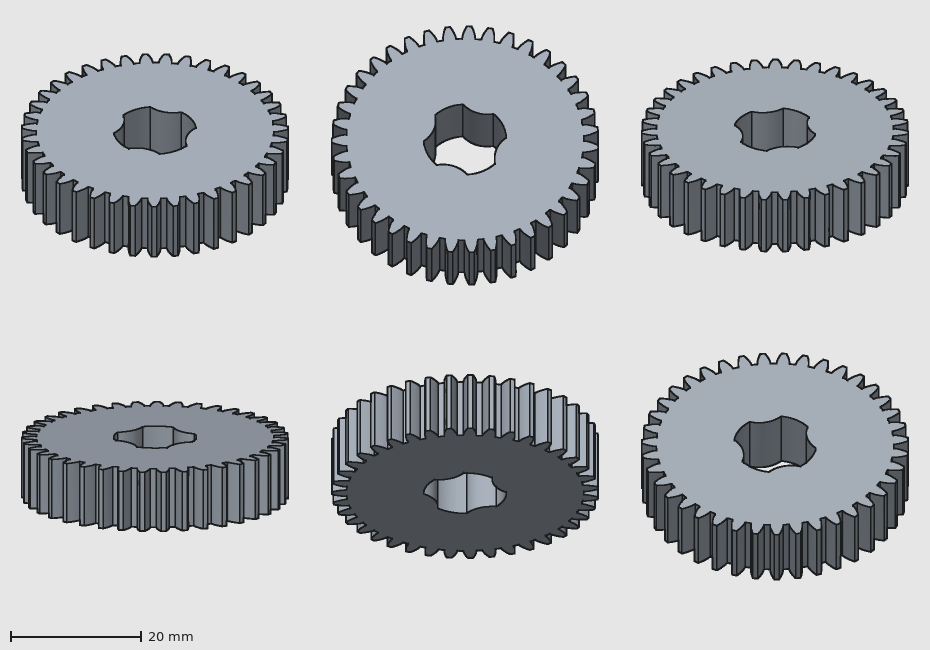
import cadquery as cq
import math

tooth_count = 39
tip_radius = 20.5
gear_width = 9.4
pressure_angle = math.radians(20)
dedendum_factor = 1.25

bore_radius = 6.35
lobe_clearance = 5.12
lobe_radius = 4.7
lobe_count = 4

module = 2 * tip_radius / (tooth_count + 2)
pitch_radius = module * tooth_count / 2
root_radius = pitch_radius - dedendum_factor * module
base_radius = pitch_radius * math.cos(pressure_angle)
tooth_pitch = 2 * math.pi / tooth_count
flank_samples = 5


def polar(radius, angle):
    return (radius * math.cos(angle), radius * math.sin(angle))


def involute(angle):
    return math.tan(angle) - angle


def half_tooth_angle(radius):
    """Half the angle a tooth spans at a radius on or outside the base circle."""
    local_pressure_angle = math.acos(min(1.0, base_radius / radius))
    return tooth_pitch / 4 + involute(pressure_angle) - involute(local_pressure_angle)


def gear_blank():
    """Extruded toothed outline, with one tooth centred on +X."""
    flank_step = (tip_radius - base_radius) / (flank_samples - 1)
    flank_radii = [base_radius + i * flank_step for i in range(flank_samples)]
    root_half_angle = half_tooth_angle(base_radius)
    tip_half_angle = half_tooth_angle(tip_radius)

    outline = cq.Workplane("XY").moveTo(*polar(root_radius, -root_half_angle))
    for tooth in range(tooth_count):
        center = tooth * tooth_pitch
        rising = [polar(r, center - half_tooth_angle(r)) for r in flank_radii]
        falling = [polar(r, center + half_tooth_angle(r)) for r in reversed(flank_radii)]
        gap_middle = polar(root_radius, center + tooth_pitch / 2)
        next_tooth = polar(root_radius, center + tooth_pitch - root_half_angle)

        outline = outline.lineTo(*rising[0])
        outline = outline.spline(rising[1:], includeCurrent=True)
        outline = outline.threePointArc(polar(tip_radius, center), polar(tip_radius, center + tip_half_angle))
        outline = outline.spline(falling[1:], includeCurrent=True)
        outline = outline.lineTo(*polar(root_radius, center + root_half_angle))
        outline = outline.threePointArc(gap_middle, next_tooth)
    return outline.close().extrude(gear_width)


def lobed_bore():
    """Cutter for the through bore: a cylinder less its four lobes."""
    lobes = (
        cq.Workplane("XY")
        .polarArray(lobe_clearance + lobe_radius, 0, 360, lobe_count)
        .circle(lobe_radius)
        .extrude(gear_width)
    )
    return cq.Workplane("XY").circle(bore_radius).extrude(gear_width).cut(lobes)


result = gear_blank().cut(lobed_bore())